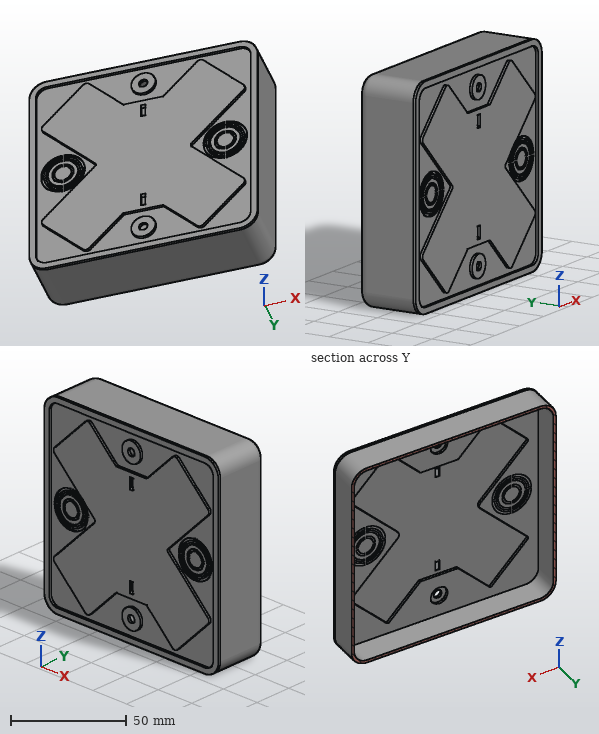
import cadquery as cq
import math

SIDE = 104.0
DEPTH = 29.2
CORNER_RADIUS = 8.1

BACK_FILLET = 4.1
COVER_WALL = 1.7
CAVITY_SIDE = SIDE - 2 * COVER_WALL
CAVITY_RADIUS = CORNER_RADIUS - COVER_WALL

RIM_THICKNESS = 1.2
RIM_WIDTH = 3.0
BASE_WALL = 1.2
BASE_BACK = RIM_THICKNESS + BASE_WALL
RECESS_SIDE = SIDE - 2 * RIM_WIDTH
RECESS_RADIUS = CORNER_RADIUS - RIM_WIDTH

ARM_LENGTH = 103.6
ARM_WIDTH = 30.0
ARM_CORNER_RADIUS = 2.1
NOTCH_HEIGHT = 30.3
CROTCH_RADIUS = 1.0

BOSS_OFFSET = 39.9
BOSS_RADIUS = 5.5
SCREW_HOLE_RADIUS = 2.0

SLOT_OFFSET = 24.9
SLOT_WIDTH = 2.1
SLOT_LENGTH = 6.0
SLOT_BACK_LENGTH = 4.4

KNOCKOUT_OFFSET = 37.0
GROOVE_RADII = [(3.8, 4.9), (6.9, 7.8), (8.7, 10.0)]
GROOVE_DEPTH = 0.8
WEB_WIDTH = 1.0


def plane_at(y):
    """Sketch plane parallel to XZ at the given Y: sketch x is X, sketch y is Z, extrusion goes to -Y."""
    return cq.Workplane("XZ", origin=(0, y, 0))


def rounded_square(side, radius, y_front, y_back):
    """Square block with rounded corners between two Y positions."""
    block = plane_at(y_back).rect(side, side).extrude(y_back - y_front)
    return block.edges("|Y").fillet(radius)


def make_cross(inset, y_front, y_back):
    """Cross-shaped block between two Y positions, its outline moved inward from the pad's by the inset."""
    thickness = y_back - y_front
    arm_length = ARM_LENGTH - 2 * inset
    arm_width = ARM_WIDTH - 2 * inset
    notch_height = NOTCH_HEIGHT - inset
    crotch_x = arm_width / math.sqrt(2)
    notch_half_width = notch_height - crotch_x

    sketch = plane_at(y_back)
    cross = sketch.rect(2 * notch_half_width, 2 * notch_height).extrude(thickness)
    for angle in (45, -45):
        arm = sketch.rect(arm_length, arm_width).extrude(thickness)
        arm = arm.edges("|Y").fillet(ARM_CORNER_RADIUS - inset)
        cross = cross.union(arm.rotate((0, 0, 0), (0, 1, 0), angle))
    for x in (crotch_x, -crotch_x):
        crotch = cq.selectors.NearestToPointSelector((x, (y_front + y_back) / 2, 0))
        cross = cross.edges(crotch).fillet(CROTCH_RADIUS + inset)
    return cross


def make_disc(radius, z, y_front, y_back):
    """Cylinder along Y, centred above or below the middle."""
    return plane_at(y_back).center(0, z).circle(radius).extrude(y_back - y_front)


def make_slot(z):
    """Cutter for one slot, narrowing in length from the pad face to the inside face."""
    return (
        plane_at(BASE_WALL)
        .center(0, z)
        .rect(SLOT_WIDTH, SLOT_BACK_LENGTH)
        .workplane(offset=BASE_WALL)
        .rect(SLOT_WIDTH, SLOT_LENGTH)
        .loft(ruled=True)
    )


def make_knockout(x):
    """Cutter for one knockout: ring grooves with the webs left standing."""
    sketch = plane_at(RIM_THICKNESS + GROOVE_DEPTH).center(x, 0)
    web_length = 2 * GROOVE_RADII[-1][1] + WEB_WIDTH
    webs = sketch.rect(web_length, WEB_WIDTH).extrude(GROOVE_DEPTH)
    webs = webs.union(sketch.rect(WEB_WIDTH, web_length).extrude(GROOVE_DEPTH))
    grooves = cq.Workplane()
    for inner, outer in GROOVE_RADII:
        ring = sketch.circle(outer).circle(inner).extrude(GROOVE_DEPTH)
        grooves = grooves.add(ring.cut(webs))
    return grooves.combine()


def make_base():
    """Base plate: rim, recessed floor fitting into the cover, cross pad, bosses, slots and knockouts."""
    rim = rounded_square(SIDE, CORNER_RADIUS, 0, RIM_THICKNESS)
    recess = rounded_square(RECESS_SIDE, RECESS_RADIUS, 0, RIM_THICKNESS)
    floor = rounded_square(CAVITY_SIDE, CAVITY_RADIUS, RIM_THICKNESS, BASE_BACK)
    base = rim.cut(recess)
    base = base.union(floor)
    base = base.union(make_cross(0, 0, RIM_THICKNESS))
    base = base.cut(make_cross(BASE_WALL, BASE_WALL, BASE_BACK))
    for side in (1, -1):
        boss_z = side * BOSS_OFFSET
        base = base.union(make_disc(BOSS_RADIUS, boss_z, 0, RIM_THICKNESS))
        base = base.cut(make_disc(BOSS_RADIUS - BASE_WALL, boss_z, BASE_WALL, BASE_BACK))
        base = base.cut(make_disc(SCREW_HOLE_RADIUS, boss_z, 0, BASE_BACK))
        base = base.cut(make_slot(side * SLOT_OFFSET))
        base = base.cut(make_knockout(side * KNOCKOUT_OFFSET))
    return base


def make_cover():
    """Hollow cover with a rounded back edge, open toward the base."""
    shell = rounded_square(SIDE, CORNER_RADIUS, RIM_THICKNESS, DEPTH)
    shell = shell.faces(">Y").edges().fillet(BACK_FILLET)
    cavity = rounded_square(CAVITY_SIDE, CAVITY_RADIUS, RIM_THICKNESS, DEPTH - COVER_WALL)
    cavity = cavity.faces(">Y").edges().fillet(BACK_FILLET - COVER_WALL)
    return shell.cut(cavity)


base = make_base()
cover = make_cover()

result = cq.Compound.makeCompound([base.solids().val(), cover.solids().val()])